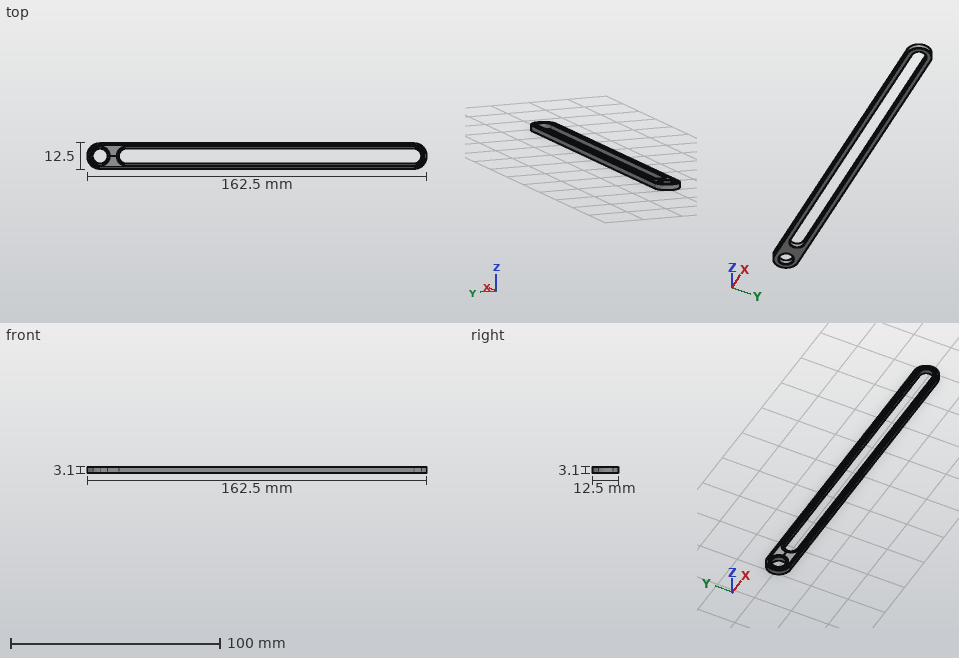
import cadquery as cq

length = 162.5
width = 12.5
thickness = 3.1
eye_diameter = 7.0
slot_width = eye_diameter
eye_to_slot = width
edge_chamfer = 0.3

rim_diameter = 9.3
rim_width = (rim_diameter - eye_diameter) / 2
recess_depth = 0.25
rib_width = 0.1

end_center = (length - width) / 2
eye_x = -end_center
slot_start_x = eye_x + eye_to_slot
slot_end_x = end_center
slot_x = (slot_start_x + slot_end_x) / 2
slot_length = slot_end_x - slot_start_x + slot_width


def bar(inset, height):
    """Rounded bar whose outline lies inside the outer edge by the inset."""
    return cq.Workplane("XY").slot2D(length - 2 * inset, width - 2 * inset).extrude(height)


def openings(offset, height):
    """Eye and slot, both enlarged all round by the offset."""
    eye = cq.Workplane("XY").center(eye_x, 0).circle(eye_diameter / 2 + offset).extrude(height)
    slot = (
        cq.Workplane("XY")
        .center(slot_x, 0)
        .slot2D(slot_length + 2 * offset, slot_width + 2 * offset)
        .extrude(height)
    )
    return eye.union(slot)


def recess():
    """Space between the outer rim and the rims of the openings, split by the rib."""
    rib = (
        cq.Workplane("XY")
        .center(eye_x + eye_to_slot / 2, 0)
        .rect(eye_to_slot - eye_diameter, rib_width)
        .extrude(recess_depth)
    )
    space = bar(rim_width, recess_depth).cut(openings(rim_width, recess_depth)).cut(rib)
    return space.translate((0, 0, thickness - recess_depth))


link = bar(0, thickness).cut(openings(0, thickness))
link = link.faces("<Z or >Z").edges().chamfer(edge_chamfer)

result = link.cut(recess())